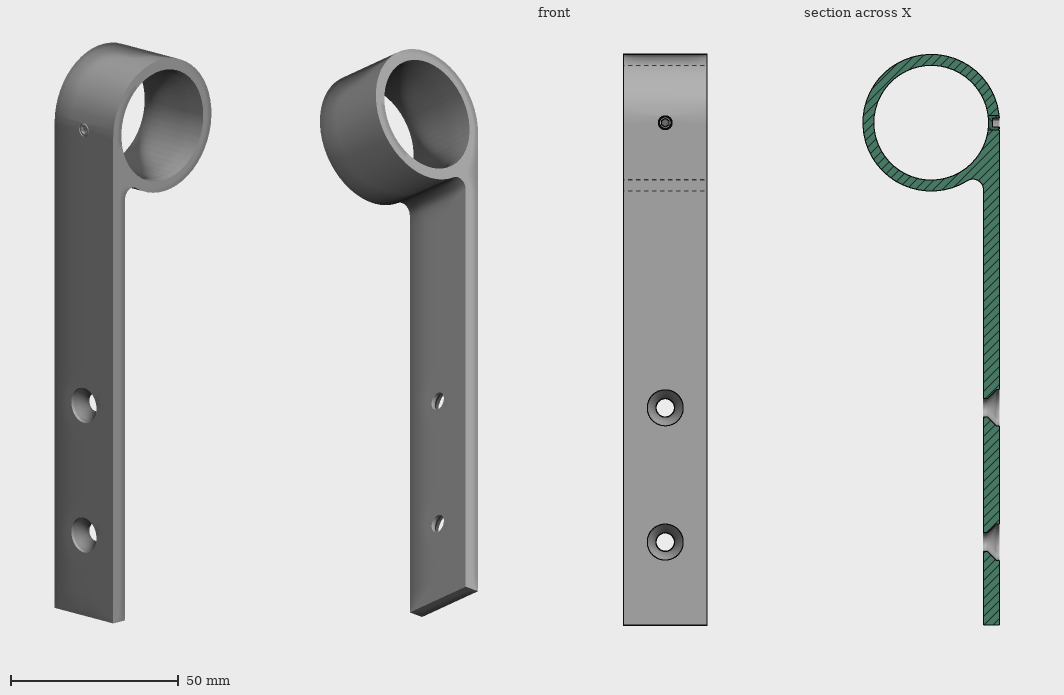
import cadquery as cq
import math

ring_outer_radius = 20.5
bore_radius = 17.0
width = 25.0

total_height = 170.5
strap_thickness = 5.0
crotch_radius = 3.0

hole_diameter = 5.5
countersink_diameter = 10.7
countersink_angle = 90.0
countersink_rim_depth = 1.0
lower_hole_height = 24.9
hole_pitch = 40.0
hole_count = 2

screw_diameter = 4.1
socket_across_flats = 2.2
socket_depth = 2.0
screw_chamfer = 0.3

strap_front = -ring_outer_radius
strap_back = strap_front + strap_thickness
strap_bottom = ring_outer_radius - total_height
wall_thickness = ring_outer_radius - bore_radius


def bracket_profile():
    """Side outline of the ring and strap, with the crotch fillet tangent to both."""
    fillet_y = strap_back + crotch_radius
    centre_distance = ring_outer_radius + crotch_radius
    fillet_z = -math.sqrt(centre_distance**2 - fillet_y**2)
    contact_ratio = ring_outer_radius / centre_distance
    ring_contact = (fillet_y * contact_ratio, fillet_z * contact_ratio)

    contact_angle = math.atan2(-fillet_z, -fillet_y)
    middle_angle = (math.pi + contact_angle) / 2
    fillet_middle = (
        fillet_y + crotch_radius * math.cos(middle_angle),
        fillet_z + crotch_radius * math.sin(middle_angle),
    )

    ring_start_angle = math.atan2(fillet_z, fillet_y)
    ring_middle_angle = (ring_start_angle + math.pi) / 2
    ring_middle = (
        ring_outer_radius * math.cos(ring_middle_angle),
        ring_outer_radius * math.sin(ring_middle_angle),
    )
    return (
        cq.Workplane("YZ", origin=(-width / 2, 0, 0))
        .moveTo(strap_front, strap_bottom)
        .lineTo(strap_back, strap_bottom)
        .lineTo(strap_back, fillet_z)
        .threePointArc(fillet_middle, ring_contact)
        .threePointArc(ring_middle, (strap_front, 0))
        .close()
    )


def front_plane():
    """Plane of the strap's front face: its normal is -Y and its height is along Z."""
    return cq.Workplane("XZ", origin=(0, strap_front, 0))


def countersunk_hole(height):
    """Through hole with a conical seat that starts below a short cylindrical rim."""
    hole_radius = hole_diameter / 2
    rim_radius = countersink_diameter / 2
    cone_depth = (rim_radius - hole_radius) / math.tan(math.radians(countersink_angle / 2))
    rim_floor = strap_front + countersink_rim_depth
    return (
        cq.Workplane("XY", origin=(0, 0, height))
        .moveTo(0, strap_front)
        .lineTo(rim_radius, strap_front)
        .lineTo(rim_radius, rim_floor)
        .lineTo(hole_radius, rim_floor + cone_depth)
        .lineTo(hole_radius, strap_back)
        .lineTo(0, strap_back)
        .close()
        .revolve(360, (0, 0, 0), (0, 1, 0))
    )


def make_bracket():
    body = bracket_profile().extrude(width)
    bore = cq.Workplane("YZ", origin=(-width / 2, 0, 0)).circle(bore_radius).extrude(width)
    screw_hole = front_plane().circle(screw_diameter / 2).extrude(-wall_thickness)
    hole_heights = [strap_bottom + lower_hole_height + i * hole_pitch for i in range(hole_count)]
    bracket_body = body.cut(bore).cut(screw_hole)
    for height in hole_heights:
        bracket_body = bracket_body.cut(countersunk_hole(height))
    return bracket_body


def make_set_screw():
    """Set screw flush with the strap front, with a hexagon socket that has corners at top and bottom."""
    socket_across_corners = socket_across_flats / math.cos(math.pi / 6)
    shank = (
        front_plane()
        .circle(screw_diameter / 2)
        .extrude(-wall_thickness)
        .faces("<Y")
        .chamfer(screw_chamfer)
    )
    socket = (
        front_plane()
        .transformed(rotate=(0, 0, 90))
        .polygon(6, socket_across_corners)
        .extrude(-socket_depth)
    )
    return shank.cut(socket)


bracket = make_bracket()
set_screw = make_set_screw()

result = cq.Compound.makeCompound([bracket.val(), set_screw.val()])